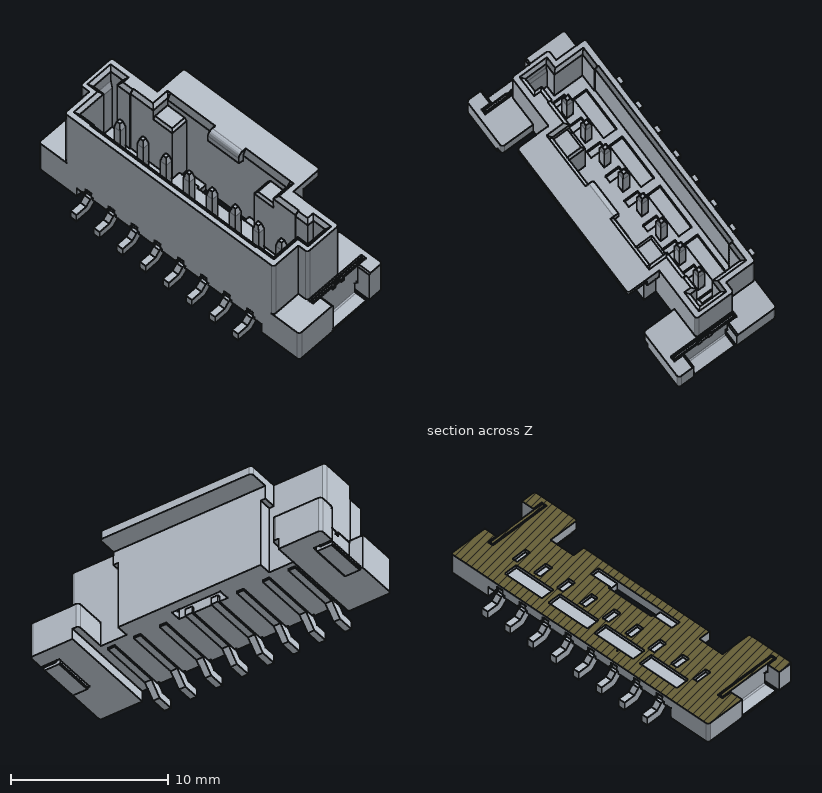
import cadquery as cq


length = 22.6
height = 8.0
body_depth = 7.77
foot_reach = 1.38
corner_radius = 0.2

body_bottom = 0.2
base_top = 2.94
lug_inner_x = 7.53
arch_half_width = 8.0
arch_top = 1.05

tower_half_width = 9.85
tower_front_half_width = 9.06
tower_shoulder_y = 2.33
tower_back_y = 5.29

flange_half_width = 5.9
flange_thickness = 0.68
bulge_back_y = 6.24
bulge_step_z = 6.28
bulge_lower_half_width = 5.54

floor_z = 2.03
rim_chamfer = 0.27
cavity_half_width = 8.4
cavity_front_y = 0.65
cavity_back_y = 4.14
ear_half_width = 9.18
ear_mouth_half_width = 9.29
ear_taper_bottom = 6.17
ear_taper_top = 6.83
ear_front_y = 2.95
ear_back_y = 4.59
ear_inner_x = 8.27
rib_inner_x = 7.16
rib_rise = 0.07
pocket_half_width = 5.2
pocket_back_y = 5.5
pocket_chamfer_height = 0.47

block_inner_x = 3.55
block_top = 6.98
block_chamfer = 0.18
ledge_front_y = 4.81
ledge_depth = 0.45
window_half_width = 1.88
window_front_y = 4.68

ridge_half_width = 1.33
ridge_front_y = 5.08
ridge_radius = 0.4
ridge_face_bottom = 7.1
ridge_root_z = 6.95
ridge_root_y = 5.79

pin_count = 8
pin_row_span = 14.01
pitch = pin_row_span / (pin_count - 1)
pin_width = 0.52
pin_post_y = 2.95
pin_tip_width = 0.27
pin_tip_length = 0.55
pin_top = 6.1
pin_foot_height = 0.68
pin_foot_bend_y = -0.47
pin_knee_y = -0.1
pin_heel_y = -0.11
pin_step_z = 1.08
pin_step_y = 0.14
pin_run_top = 1.42
pin_run_bottom = 0.9
pin_tail_y = 4.88

exit_top = 1.58
exit_relief_width = 0.77
exit_relief_top = 1.18

floor_recess_depth = 0.45
key_size = (0.52, 1.08)
end_key_size = (0.38, 1.15)
key_y = 2.95
end_key_x = 7.9
panel_size = (3.4, 1.05)
end_panel_size = (3.23, 1.05)
panel_x = 2.01
end_panel_x = 5.92
panel_y = 1.58

nail_inner_x = 9.95
nail_thickness = 0.27
nail_top = 2.87
nail_front_y = 2.46
nail_back_y = 7.28
nail_shoulder_z = 1.13
nail_leg_front_y = 3.25
nail_leg_back_y = 6.37
nail_foot_x = 11.2
nail_bend_radius = 0.1
nail_edge_chamfer = 0.07
nail_slot_clearance = 0.07
nail_gap_front_y = 3.16
nail_gap_back_y = 6.55
gap_lead_in = 0.11
dent_front_y = 4.3
dent_back_y = 5.4
dent_bottom = 2.71
dent_ear_width = 0.3
dent_ear_bottom = 2.5
dent_depth = nail_thickness / 2


def box(x0, x1, y0, y1, z0, z1):
    return cq.Workplane("XY").box(x1 - x0, y1 - y0, z1 - z0, centered=False).translate((x0, y0, z0))


def wide_box(half_width, y0, y1, z0, z1):
    return box(-half_width, half_width, y0, y1, z0, z1)


def both_sides(half):
    return half.union(half.mirror("YZ"))


def symmetric(points):
    """Join right-hand outline points to their mirror image about X = 0."""
    return points + [(-x, y) for x, y in reversed(points)]


def yz_prism(points, half_width):
    return cq.Workplane("YZ").polyline(points).close().extrude(half_width, both=True)


def base():
    slab = wide_box(length / 2, 0, tower_back_y, body_bottom, base_top)
    slab = slab.edges("|Z and <Y").fillet(corner_radius)
    lug = box(lug_inner_x, length / 2, tower_shoulder_y, body_depth, body_bottom, base_top)
    lug = lug.edges("|Z and >Y").fillet(corner_radius)
    arch = wide_box(arch_half_width, 0, body_depth, body_bottom, arch_top)
    return slab.union(both_sides(lug)).cut(arch)


def tower():
    front = wide_box(tower_front_half_width, 0, tower_back_y, arch_top, height)
    front = front.edges("|Z and <Y").fillet(corner_radius)
    ears = wide_box(tower_half_width, tower_shoulder_y, tower_back_y, arch_top, height)
    ears = ears.edges("|Z").fillet(corner_radius)
    lower_bulge = wide_box(bulge_lower_half_width, ear_front_y, bulge_back_y, arch_top, bulge_step_z)
    upper_bulge = wide_box(flange_half_width, ear_front_y, bulge_back_y, bulge_step_z, height)
    flange = wide_box(flange_half_width, ear_front_y, body_depth, height - flange_thickness, height)
    flange = flange.edges("|Z and >Y").fillet(corner_radius)
    return front.union(ears).union(lower_bulge).union(upper_bulge).union(flange)


def cavity_outline(ear_x, grow):
    """Cavity outline with ear walls at ear_x, everything offset outward by grow."""
    return symmetric([
        (rib_inner_x, cavity_front_y - grow),
        (rib_inner_x, cavity_front_y + rib_rise - grow),
        (cavity_half_width + grow, cavity_front_y + rib_rise - grow),
        (cavity_half_width + grow, ear_front_y - grow),
        (ear_x + grow, ear_front_y - grow),
        (ear_x + grow, ear_back_y + grow),
        (ear_inner_x - grow, ear_back_y + grow),
        (ear_inner_x - grow, cavity_back_y - rib_rise + grow),
        (rib_inner_x, cavity_back_y - rib_rise + grow),
        (rib_inner_x, cavity_back_y + grow),
        (pocket_half_width + grow, cavity_back_y + grow),
        (pocket_half_width + grow, pocket_back_y + grow),
    ])


def cavity():
    chamfer_z = height - rim_chamfer
    well_outline = cavity_outline(ear_half_width, 0)
    mouth_outline = cavity_outline(ear_mouth_half_width, 0)
    rim_outline = cavity_outline(ear_mouth_half_width, rim_chamfer)
    well_floor = cq.Workplane("XY").workplane(offset=floor_z)
    well = well_floor.polyline(well_outline).close().extrude(chamfer_z - floor_z)
    flare = (
        cq.Workplane("XY").workplane(offset=chamfer_z).polyline(mouth_outline).close()
        .workplane(offset=rim_chamfer).polyline(rim_outline).close()
        .loft(ruled=True)
    )
    ear_mouth = (
        cq.Workplane("XZ", origin=(0, ear_back_y, 0))
        .polyline([
            (ear_half_width, ear_taper_bottom),
            (ear_mouth_half_width, ear_taper_top),
            (ear_mouth_half_width, chamfer_z),
            (ear_half_width, chamfer_z),
        ]).close().extrude(ear_back_y - ear_front_y)
    )
    pocket_lead_in = yz_prism(
        [
            (pocket_back_y, height),
            (pocket_back_y, height - pocket_chamfer_height),
            (pocket_back_y + rim_chamfer, height),
        ],
        pocket_half_width,
    )
    return well.union(flare).union(both_sides(ear_mouth)).union(pocket_lead_in)


def key_block():
    wall_x = pocket_half_width + rim_chamfer
    wall_y = pocket_back_y + rim_chamfer
    block = box(block_inner_x, wall_x, cavity_back_y, wall_y, floor_z - ledge_depth, block_top)
    return block.faces(">Z").edges("<X or <Y").chamfer(block_chamfer)


def ridge():
    return (
        cq.Workplane("YZ")
        .moveTo(ridge_root_y, height)
        .lineTo(ridge_front_y + ridge_radius, height)
        .radiusArc((ridge_front_y, height - ridge_radius), -ridge_radius)
        .lineTo(ridge_front_y, ridge_face_bottom)
        .lineTo(pocket_back_y, ridge_root_z)
        .lineTo(ridge_root_y, ridge_root_z)
        .close()
        .extrude(ridge_half_width, both=True)
    )


def floor_cuts():
    ledge = wide_box(block_inner_x, ledge_front_y, pocket_back_y, floor_z - ledge_depth, floor_z)
    window = wide_box(window_half_width, window_front_y, pocket_back_y, 0, floor_z)
    return ledge.union(window)


def floor_recess(size, points):
    start = cq.Workplane("XY").workplane(offset=floor_z)
    return start.pushPoints(points).rect(*size).extrude(-floor_recess_depth)


def floor_recesses():
    key_points = [((i - pin_count / 2) * pitch, key_y) for i in range(1, pin_count)]
    keys = floor_recess(key_size, key_points)
    end_keys = floor_recess(end_key_size, [(-end_key_x, key_y), (end_key_x, key_y)])
    panels = floor_recess(panel_size, [(-panel_x, panel_y), (panel_x, panel_y)])
    end_panels = floor_recess(end_panel_size, [(-end_panel_x, panel_y), (end_panel_x, panel_y)])
    return keys.union(end_keys).union(panels).union(end_panels)


def pin_exit():
    slot = yz_prism(
        [(0, arch_top), (0, exit_top), (pin_step_y, pin_run_top), (pin_step_y, arch_top)],
        pin_width / 2,
    )
    return slot.union(wide_box(exit_relief_width / 2, 0, pin_step_y, arch_top, exit_relief_top))


def pin():
    lead = yz_prism(
        [
            (-foot_reach, 0),
            (-foot_reach, pin_foot_height),
            (pin_foot_bend_y, pin_foot_height),
            (pin_knee_y, pin_step_z),
            (pin_step_y, pin_step_z),
            (pin_step_y, pin_run_top),
            (pin_tail_y, pin_run_top),
            (pin_tail_y, pin_run_bottom),
            (pin_heel_y + pin_run_bottom, pin_run_bottom),
            (pin_heel_y, 0),
        ],
        pin_width / 2,
    )
    shoulder_z = pin_top - pin_tip_length
    half = pin_width / 2
    post = wide_box(half, pin_post_y - half, pin_post_y + half, pin_run_bottom, shoulder_z)
    tip = (
        cq.Workplane("XY", origin=(0, pin_post_y, shoulder_z)).rect(pin_width, pin_width)
        .workplane(offset=pin_tip_length).rect(pin_tip_width, pin_tip_width)
        .loft(ruled=True)
    )
    return lead.union(post).union(tip)


def nail_opening():
    slot_inner_x = nail_inner_x - nail_slot_clearance
    slot_outer_x = nail_inner_x + nail_thickness + nail_slot_clearance
    slot = box(
        slot_inner_x, slot_outer_x,
        nail_front_y - nail_slot_clearance, nail_back_y + nail_slot_clearance,
        nail_shoulder_z, base_top,
    )
    gap = box(slot_inner_x, length / 2, nail_gap_front_y, nail_gap_back_y, 0, base_top)
    lead_in = cq.Workplane("YZ", origin=(slot_outer_x, 0, 0)).polyline([
        (nail_gap_front_y, base_top - gap_lead_in),
        (nail_gap_front_y - gap_lead_in, base_top),
        (nail_gap_back_y + gap_lead_in, base_top),
        (nail_gap_back_y, base_top - gap_lead_in),
    ]).close().extrude(length / 2 - slot_outer_x)
    return slot.union(gap).union(lead_in)


def nail():
    outer_x = nail_inner_x + nail_thickness
    plate = box(nail_inner_x, outer_x, nail_front_y, nail_back_y, nail_shoulder_z, nail_top)
    plate = plate.faces(">Z").edges().chamfer(nail_edge_chamfer)
    leg = (
        cq.Workplane("XZ", origin=(0, nail_leg_back_y, 0))
        .polyline([
            (nail_inner_x, 0),
            (nail_foot_x, 0),
            (nail_foot_x, nail_thickness),
            (outer_x, nail_thickness),
            (outer_x, nail_shoulder_z),
            (nail_inner_x, nail_shoulder_z),
        ]).close().extrude(nail_leg_back_y - nail_leg_front_y)
    )
    leg_middle_y = (nail_leg_front_y + nail_leg_back_y) / 2
    inner_bend = cq.selectors.NearestToPointSelector((outer_x, leg_middle_y, nail_thickness))
    leg = leg.edges(inner_bend).fillet(nail_bend_radius)
    leg = leg.faces("<Z").edges("|Y").chamfer(nail_edge_chamfer)
    dent_x = outer_x - dent_depth
    dent = box(dent_x, outer_x, dent_front_y, dent_back_y, dent_bottom, nail_top)
    for y in (dent_front_y, dent_back_y - dent_ear_width):
        dent = dent.union(box(dent_x, outer_x, y, y + dent_ear_width, dent_ear_bottom, nail_top))
    return plate.union(leg).cut(dent)


body = base().union(tower()).cut(cavity())
body = body.union(both_sides(key_block())).union(ridge())
body = body.cut(floor_cuts()).cut(floor_recesses())
body = body.cut(both_sides(nail_opening())).union(both_sides(nail()))

pin_shape = pin()
exit_shape = pin_exit()
for i in range(pin_count):
    position = ((i - (pin_count - 1) / 2) * pitch, 0, 0)
    body = body.cut(exit_shape.translate(position)).union(pin_shape.translate(position))

result = body